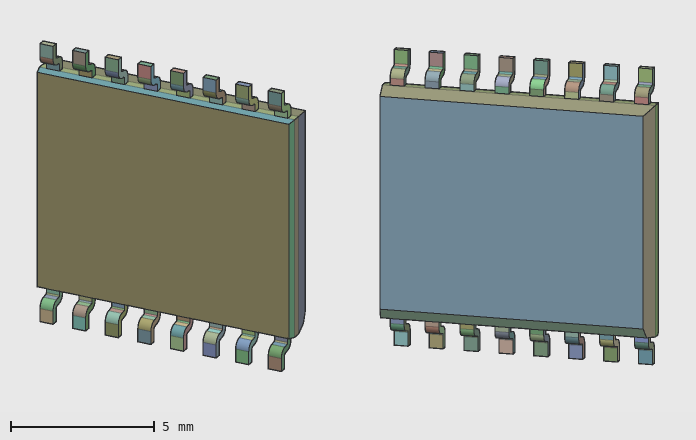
import cadquery as cq
import math

overall_x = 9.91
overall_y = 1.7
overall_z = 10.64

body_height = 8.33
body_standoff = 0.19
front_draft_depth = 0.31
band_depth = 0.31
draft_angle = 11.0
bevel_depth = 0.25
bevel_height = 0.33

leads_per_row = 8
lead_pitch = 1.27
lead_width = 0.51
lead_thickness = 0.26
foot_length = 0.5
foot_bend_radius = 0.07
shoulder_bend_radius = 0.05
slope_angle = 10.0
lead_embed = 0.21

foot_front_y = -overall_y / 2
body_front_y = foot_front_y + body_standoff
band_front_y = body_front_y + front_draft_depth
band_back_y = band_front_y + band_depth
body_back_y = overall_y / 2
lead_front_y = band_front_y


def body_slab(start_y, depth, taper=0.0):
    """Full-outline slab from start_y; a negative depth grows it towards -Y."""
    return (
        cq.Workplane("XZ", origin=(0, start_y, 0))
        .rect(overall_x, body_height)
        .extrude(-depth, taper=taper)
    )


def lower_back_bevel():
    """Wedge along the lower back edge of the body."""
    back_inset = (body_back_y - band_back_y) * math.tan(math.radians(draft_angle))
    lower_inset = back_inset * (1 - bevel_depth / (body_back_y - band_back_y))
    lower_z = -body_height / 2
    return (
        cq.Workplane("YZ")
        .moveTo(body_back_y - bevel_depth, lower_z + lower_inset)
        .lineTo(body_back_y, lower_z + back_inset + bevel_height)
        .lineTo(body_back_y, lower_z)
        .lineTo(body_back_y - bevel_depth, lower_z)
        .close()
        .extrude(overall_x / 2, both=True)
    )


def make_body():
    band = body_slab(band_front_y, band_depth)
    front = body_slab(band_front_y, -front_draft_depth, draft_angle)
    back = body_slab(band_back_y, body_back_y - band_back_y, draft_angle)
    return band.union(front).union(back).cut(lower_back_bevel())


def lead_profile():
    """Side outline of an upper lead, from the foot tip down into the body."""
    slope = math.radians(slope_angle)
    foot_inner = foot_bend_radius
    foot_outer = foot_inner + lead_thickness
    shoulder_inner = shoulder_bend_radius
    shoulder_outer = shoulder_inner + lead_thickness
    bend_reach = foot_outer + shoulder_inner
    tip_z = overall_z / 2
    foot_back_y = foot_front_y + lead_thickness
    lead_back_y = lead_front_y + lead_thickness
    root_z = body_height / 2 - lead_embed

    foot_bend_y = foot_front_y + foot_outer
    foot_bend_z = tip_z - foot_length
    shoulder_bend_y = lead_front_y - shoulder_inner
    slope_run = (shoulder_bend_y - foot_bend_y + bend_reach * math.sin(slope)) / math.cos(slope)
    shoulder_bend_z = foot_bend_z - bend_reach * math.cos(slope) - slope_run * math.sin(slope)

    def foot_bend(radius, turn):
        return foot_bend_y - radius * math.cos(turn), foot_bend_z - radius * math.sin(turn)

    def shoulder_bend(radius, turn):
        return shoulder_bend_y + radius * math.cos(turn), shoulder_bend_z + radius * math.sin(turn)

    full_turn = math.pi / 2 - slope
    half_turn = full_turn / 2
    return (
        cq.Workplane("YZ")
        .moveTo(foot_back_y, tip_z)
        .lineTo(foot_front_y, tip_z)
        .lineTo(foot_front_y, foot_bend_z)
        .threePointArc(foot_bend(foot_outer, half_turn), foot_bend(foot_outer, full_turn))
        .lineTo(*shoulder_bend(shoulder_inner, full_turn))
        .threePointArc(shoulder_bend(shoulder_inner, half_turn), (lead_front_y, shoulder_bend_z))
        .lineTo(lead_front_y, root_z)
        .lineTo(lead_back_y, root_z)
        .lineTo(lead_back_y, shoulder_bend_z)
        .threePointArc(shoulder_bend(shoulder_outer, half_turn), shoulder_bend(shoulder_outer, full_turn))
        .lineTo(*foot_bend(foot_inner, full_turn))
        .threePointArc(foot_bend(foot_inner, half_turn), (foot_back_y, foot_bend_z))
        .close()
    )


upper_lead = lead_profile().extrude(lead_width / 2, both=True)
lower_lead = upper_lead.mirror("XY")

result = make_body()
for index in range(leads_per_row):
    lead_x = (index - (leads_per_row - 1) / 2) * lead_pitch
    for lead in (upper_lead, lower_lead):
        result = result.union(lead.translate((lead_x, 0, 0)))